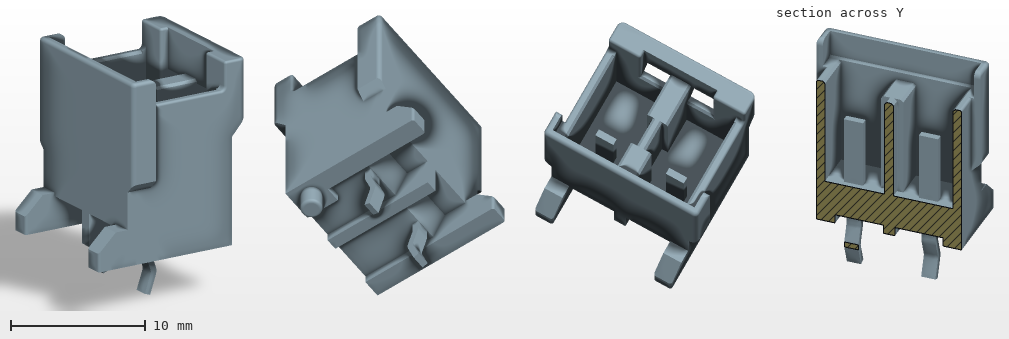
import cadquery as cq
import math

half_width = 5.82
depth = 9.16
height = 14.48
rim_height = 12.24
floor_height = 3.5
front_wall = 0.74
inner_half_width = 5.1

rear_inner_y = 8.55
rear_top_depth = 10.4
slope_bottom = 8.5
slope_top = 9.88
rear_corner_radius = 0.5
edge_radius = 0.2
rim_corner_radius = 0.32
rim_chamfer = 0.2

window_half_width = 3.09
window_top = 11.23
beam_front_y = 9.22
sill_chamfer = 0.2

flange_width = 13.1
flange_half_width = flange_width / 2
flange_depth = 2.03
flange_bottom = 5.82
flange_corner_radius = 0.35
flange_top_radius = 0.29
flange_end_radius = 0.49
pocket_half_width = 6.04
pocket_front = 0.58

divider_top = 11.57
divider_chamfer = 0.2
divider_half_width = 0.88
divider_neck_half_width = 0.38
divider_neck_start = 3.25
divider_neck_end = 5.7

foot_width = 1.53
foot_reach = 2.55
foot_top = 2.88
foot_flat = 1.05
foot_tip_height = 1.44
foot_radius = 0.2
rib_half_width = 0.49
underside_front = 2.6
underside_slope_y = 1.89
underside_break_y = 2.08
underside_break_z = 2.28
underside_back_y = 2.97
underside_back = 0.72

peg_radius = 0.83
peg_x = -4.53
peg_y = 7.73
peg_length = 1.7
peg_edge_radius = 0.25
pad_right = -3.05
pad_front = 6.38

terminal_x = 3.0
terminal_y = 3.25
terminal_thickness = 0.52
blade_width = 1.53
blade_top = 8.98
pin_width = 1.13
pin_bulge = 0.5
pin_neck_z = -0.22
pin_bend_z = -1.69
pin_end_z = -3.49
pin_inner_radius = 0.55
pin_outer_radius = 1.08


def box(x0, x1, y0, y1, z0, z1):
    """Block given by its limits along the three axes."""
    return cq.Workplane("XY").box(x1 - x0, y1 - y0, z1 - z0, centered=False).translate((x0, y0, z0))


def side_prism(points, x0, x1):
    """Outline of (y, z) points pulled along X from x0 to x1."""
    return cq.Workplane("YZ").polyline(points).close().extrude(x1 - x0).translate((x0, 0, 0))


def edges_near(solid, points):
    """The edges of the solid whose centres lie nearest to the given points."""
    picked = solid.edges(cq.selectors.NearestToPointSelector(points[0]))
    for point in points[1:]:
        picked = picked.add(solid.edges(cq.selectors.NearestToPointSelector(point)))
    return picked


def make_shell():
    """Side walls, front wall, floor and rear wall, with the rounded rim and the rear window."""
    rear_points = [(depth, 0), (depth, slope_bottom), (rear_top_depth, slope_top)]
    top_points = [(rear_top_depth, height), (rear_inner_y, height), (rear_inner_y, rim_height)]
    outline = [(0, 0)] + rear_points + top_points + [(0, rim_height)]
    shell = side_prism(outline, -half_width, half_width)
    shell = edges_near(shell, [(0, rear_inner_y, rim_height)]).fillet(rim_corner_radius)
    shell = shell.edges("|Z and >Y").fillet(rear_corner_radius)

    w = window_half_width
    inner = inner_half_width
    shell = shell.cut(box(-inner, inner, front_wall, rear_inner_y, floor_height, height))
    shell = shell.cut(box(-w, w, rear_inner_y, beam_front_y, slope_bottom, height))
    shell = shell.cut(box(-w, w, beam_front_y, rear_top_depth, slope_bottom, window_top))
    shell = edges_near(shell, [(0, rear_inner_y, slope_bottom)]).chamfer(sill_chamfer)

    post_y = (rear_inner_y + beam_front_y) / 2
    post_x = (half_width + window_half_width) / 2
    post_z = (rim_height + height) / 2
    rounded = [(0, rear_top_depth, height)]
    for side in (-1, 1):
        x = side * half_width
        rounded += [
            (x, rear_inner_y / 2, rim_height),
            (x, rear_inner_y, rim_height),
            (x, rear_inner_y, post_z),
            (x, beam_front_y, height),
            (x, rear_top_depth, height),
            (side * post_x, rear_inner_y, height),
            (side * w, post_y, height),
            (side * w, rear_inner_y, (slope_bottom + height) / 2),
        ]
    return edges_near(shell, rounded).fillet(edge_radius)


def make_flange():
    """Wider front panel with rounded upper edges and slanted lower ends."""
    drop = flange_half_width - half_width
    corners = [
        (-half_width, flange_bottom),
        (half_width, flange_bottom),
        (flange_half_width, flange_bottom + drop),
        (flange_half_width, height),
        (-flange_half_width, height),
        (-flange_half_width, flange_bottom + drop),
    ]
    flange = cq.Workplane("XZ").polyline(corners).close().extrude(-flange_depth)
    middle_z = (flange_bottom + height) / 2
    front_corners = [(side * flange_half_width, 0, middle_z) for side in (-1, 1)]
    flange = edges_near(flange, front_corners).fillet(flange_corner_radius)
    top_edges = [(0, 0, height)]
    for side in (-1, 1):
        top_edges.append((side * flange_half_width, 0, height))
        top_edges.append((side * flange_half_width, flange_depth / 2, height))
    flange = edges_near(flange, top_edges).fillet(flange_top_radius)
    rounding = box(-flange_half_width, flange_half_width, 0, flange_depth, flange_bottom, height)
    return flange.intersect(rounding.edges(">Z and >Y").fillet(flange_end_radius))


def make_pocket():
    """Space behind the flange above the rim, with a sloped step down the front wall."""
    step = front_wall - pocket_front
    points = [
        (front_wall, rim_height),
        (pocket_front, rim_height + step),
        (pocket_front, height),
        (flange_depth, height),
        (flange_depth, rim_height),
    ]
    return side_prism(points, -pocket_half_width, pocket_half_width)


def make_cavity():
    """Cavity between the front and rear walls, widened by a chamfer along each side of the rim."""
    cavity = box(-inner_half_width, inner_half_width, front_wall, rear_inner_y, floor_height, rim_height)
    mouth_half_width = inner_half_width + rim_chamfer
    mouth = [
        (-mouth_half_width, rim_height),
        (mouth_half_width, rim_height),
        (inner_half_width, rim_height - rim_chamfer),
        (-inner_half_width, rim_height - rim_chamfer),
    ]
    length = rear_inner_y - rim_corner_radius - front_wall
    mouth_cut = cq.Workplane("XZ").polyline(mouth).close().extrude(-length)
    return cavity.union(mouth_cut.translate((0, front_wall, 0)))


def make_ridge(half, y0, y1):
    """Stretch of the divider: a wall on the floor with chamfered upper edges."""
    wall = box(-half, half, y0, y1, floor_height, divider_top)
    return wall.edges("|Y and >Z").chamfer(divider_chamfer)


def make_divider():
    """Wall between the two halves, narrowed in the middle and ending flush with the rear slope."""
    divider = make_ridge(divider_half_width, front_wall, divider_neck_start)
    divider = divider.union(make_ridge(divider_neck_half_width, divider_neck_start, divider_neck_end))
    divider = divider.union(make_ridge(divider_half_width, divider_neck_end, beam_front_y))
    below_beam = [
        (rear_inner_y, slope_bottom),
        (depth, slope_bottom),
        (rear_top_depth, slope_top),
        (rear_top_depth, window_top),
        (rear_inner_y, window_top),
    ]
    return divider.union(side_prism(below_beam, -divider_half_width, divider_half_width))


def make_foot():
    """Left foot, reaching forward from the housing with a sloped top."""
    points = [
        (0, 0),
        (0, foot_top),
        (-foot_flat, foot_top),
        (-foot_reach, foot_tip_height),
        (-foot_reach, 0),
    ]
    foot = side_prism(points, -half_width, -half_width + foot_width)
    return foot.edges("|Z and <Y").fillet(foot_radius)


def make_underside():
    """Space under the floor to one side of the middle rib, rising in two slopes to the front."""
    points = [
        (0, 0),
        (0, underside_front),
        (underside_slope_y, underside_front),
        (underside_break_y, underside_break_z),
        (underside_back_y, underside_back),
        (depth, underside_back),
        (depth, 0),
    ]
    return side_prism(points, rib_half_width, half_width - foot_width)


def make_peg():
    """Locating peg under the left rear corner, on a pad level with the underside."""
    pad = box(-half_width, pad_right, pad_front, depth, 0, underside_back)
    peg = cq.Workplane("XY").center(peg_x, peg_y).circle(peg_radius).extrude(-peg_length)
    return pad.union(peg.faces("<Z").edges().fillet(peg_edge_radius))


def make_terminal():
    """Terminal on the Z axis: a blade in the cavity and a bent pin below that bulges toward +Y."""
    half = terminal_thickness / 2
    blade = box(-blade_width / 2, blade_width / 2, -half, half, underside_back, blade_top)

    bend_drop = pin_neck_z - pin_bend_z
    slope = pin_bulge / bend_drop
    lean = math.atan(slope)
    end_shift = pin_bulge - slope * (pin_bend_z - pin_end_z)
    end_rise = terminal_thickness * math.sin(lean) * math.cos(lean)
    points = [
        (-half, underside_back),
        (-half, pin_neck_z),
        (pin_bulge - half, pin_bend_z),
        (end_shift - half + slope * end_rise, pin_end_z + end_rise),
        (end_shift + half, pin_end_z),
        (pin_bulge + half, pin_bend_z),
        (half, pin_neck_z),
        (half, underside_back),
    ]
    pin = side_prism(points, -pin_width / 2, pin_width / 2)
    inner_bends = [(0, pin_bulge - half, pin_bend_z), (0, half, pin_neck_z)]
    outer_bends = [(0, pin_bulge + half, pin_bend_z), (0, -half, pin_neck_z)]
    pin = edges_near(pin, inner_bends).fillet(pin_inner_radius)
    pin = edges_near(pin, outer_bends).fillet(pin_outer_radius)
    return blade.union(pin)


housing = make_shell().union(make_flange())
housing = housing.cut(make_pocket()).cut(make_cavity())
foot = make_foot()
housing = housing.union(foot).union(foot.mirror("YZ"))
underside = make_underside()
housing = housing.cut(underside).cut(underside.mirror("YZ"))
housing = housing.union(make_divider()).union(make_peg())

terminal = make_terminal()
left_terminal = terminal.rotate((0, 0, 0), (0, 0, 1), 180).translate((-terminal_x, terminal_y, 0))
right_terminal = terminal.translate((terminal_x, terminal_y, 0))
result = housing.union(left_terminal).union(right_terminal)